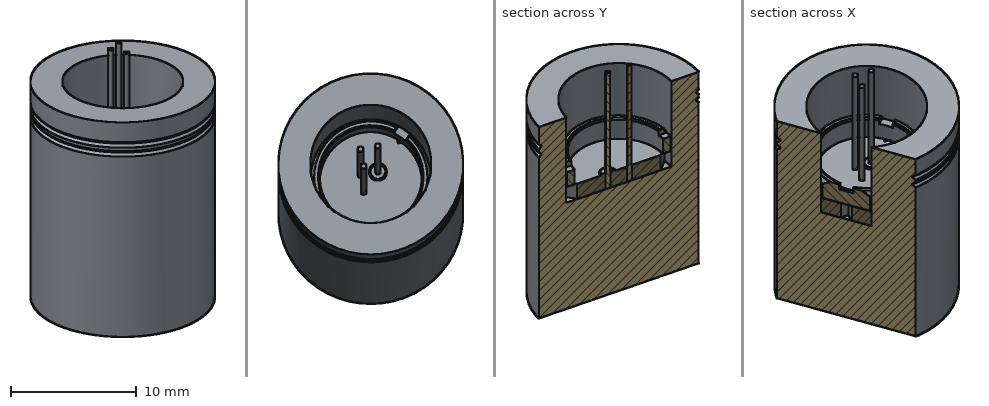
import cadquery as cq
import math

total_height = 22.07

sleeve_diameter = 14.72
sleeve_radius = sleeve_diameter / 2
sleeve_height = 19.05
groove_depth = 0.25
groove_tops_below_rim = (1.77, 2.55)
bore_radius = 4.81

ring_depth = 4.95
ring_height = 2.0
ring_gap = 0.05
ring_bore_radius = 4.05
outer_chamfer_width = 0.26
outer_chamfer_angle = 60
outer_chamfer_height = outer_chamfer_width * math.tan(math.radians(outer_chamfer_angle))
inner_chamfer = 0.13
slot_width = 1.2
slot_depth = 0.5

header_height = 1.5
notch_root_radius = 3.85
boss_radius = 0.7
boss_height = 0.13
boss_chamfer = 0.1

pin_radius = 0.22
pin_offset = 1.0
pin_places = ((-pin_offset, 0), (pin_offset, 0), (0, -pin_offset))
boss_place = pin_places[0]

ring_top = sleeve_height - ring_depth
header_top = ring_top - ring_height
bore_floor = header_top - header_height


def make_groove(top):
    """Ring-shaped cutter with a 90 degree V section that opens at the sleeve wall."""
    return (
        cq.Workplane("XZ")
        .moveTo(sleeve_radius, top)
        .lineTo(sleeve_radius - groove_depth, top - groove_depth)
        .lineTo(sleeve_radius, top - 2 * groove_depth)
        .close()
        .revolve(360, (0, 0), (0, 1))
    )


def make_sleeve():
    """Thick tube, closed at the bottom, with V grooves near its rim."""
    body = cq.Workplane("XY").circle(sleeve_radius).extrude(sleeve_height)
    bore = cq.Workplane("XY").workplane(offset=bore_floor).circle(bore_radius).extrude(sleeve_height)
    body = body.cut(bore)
    for distance in groove_tops_below_rim:
        body = body.cut(make_groove(sleeve_height - distance))
    return body


def make_retaining_ring():
    """Ring on the header, chamfered at both top edges, with a spanner slot across its top face."""
    ring_radius = bore_radius - ring_gap
    section = (
        cq.Workplane("XZ")
        .moveTo(ring_bore_radius, header_top)
        .lineTo(ring_radius, header_top)
        .lineTo(ring_radius, ring_top - outer_chamfer_height)
        .lineTo(ring_radius - outer_chamfer_width, ring_top)
        .lineTo(ring_bore_radius + inner_chamfer, ring_top)
        .lineTo(ring_bore_radius, ring_top - inner_chamfer)
        .close()
    )
    ring = section.revolve(360, (0, 0), (0, 1))
    slot = (
        cq.Workplane("XY")
        .workplane(offset=ring_top - slot_depth)
        .rect(2 * bore_radius, slot_width)
        .extrude(slot_depth)
    )
    return ring.cut(slot)


def make_header():
    """Disc on the bore floor with two V notches, a boss around one pin and the pin holes."""
    disc = cq.Workplane("XY").workplane(offset=bore_floor).circle(bore_radius).extrude(header_height)
    boss = (
        cq.Workplane("XY")
        .workplane(offset=header_top)
        .center(*boss_place)
        .circle(boss_radius)
        .extrude(boss_height)
        .faces(">Z")
        .chamfer(boss_chamfer)
    )
    notch_depth = bore_radius - notch_root_radius
    for side in (-1, 1):
        notch = (
            cq.Workplane("XY")
            .workplane(offset=bore_floor)
            .moveTo(side * notch_root_radius, 0)
            .lineTo(side * bore_radius, notch_depth)
            .lineTo(side * (bore_radius + notch_depth), 0)
            .lineTo(side * bore_radius, -notch_depth)
            .close()
            .extrude(header_height)
        )
        disc = disc.cut(notch)
    pin_holes = cq.Workplane("XY").workplane(offset=bore_floor).pushPoints(pin_places)
    return disc.union(boss).cut(pin_holes.circle(pin_radius).extrude(total_height))


def make_pin(place):
    """Straight round pin from the bottom of the header to the full height."""
    pin = cq.Workplane("XY").workplane(offset=bore_floor).center(*place).circle(pin_radius)
    return pin.extrude(total_height - bore_floor)


sleeve = make_sleeve()
retaining_ring = make_retaining_ring()
header = make_header()
pins = [make_pin(place).val() for place in pin_places]

result = cq.Compound.makeCompound([sleeve.val(), retaining_ring.val(), header.val(), *pins])